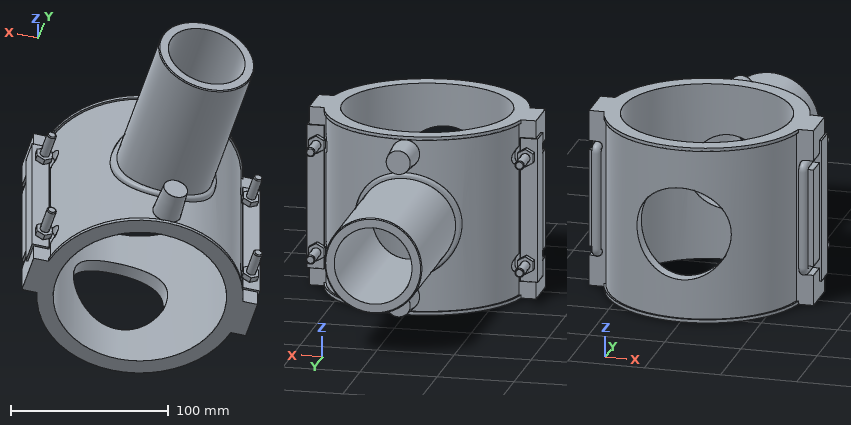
import cadquery as cq
import math


overall_length = 223.3

ring_height = 118.0
bore_radius = 55.0
body_radius = 64.0
rim_radius = 65.5
rim_height = 2.2

flange_half_width = 73.7
front_flange_depth = 14.3
back_flange_depth = 13.6

plate_thickness = 1.3
plate_length = 94.7
plate_inner_x = 63.6
plate_half_width = flange_half_width + plate_thickness
plate_top_y = back_flange_depth + plate_thickness

bolt_diameter = 6.0
bolt_radius = bolt_diameter / 2
bolt_x = 67.9
bolt_leg_z = 35.5
bolt_end_y = 36.2
bolt_tip_chamfer = 0.7
bend_radius = 3.1
bend_z = bolt_leg_z - bend_radius
bolt_bar_y = -front_flange_depth - bend_radius
nut_across_flats = 10.0
nut_corner_diameter = nut_across_flats / math.cos(math.pi / 6)
nut_height = 4.0
nut_clearance_radius = 8.0

pipe_diameter = 63.0
pipe_bore_diameter = 50.5
pipe_end_y = overall_length - rim_radius
pipe_end_chamfer = 0.7
collar_diameter = 69.2
collar_saddle_radius = 66.8
collar_edge_fillet = 1.8
window_diameter = 61.8

stud_base_diameter = 18.3
stud_tip_diameter = 15.6
stud_z = 47.1
stud_tip_y = 84.6


def cylinder_z(radius, height, base_z):
    return cq.Workplane("XY").workplane(offset=base_z).circle(radius).extrude(height)


def cylinder_y(diameter, start_y, end_y, x=0, z=0):
    """Cylinder along +Y from start_y to end_y."""
    plane = cq.Workplane("XZ", origin=(x, start_y, z))
    return plane.circle(diameter / 2).extrude(start_y - end_y)


def box_between(x_range, y_range, height):
    """Box spanning the X and Y ranges, centred on Z = 0."""
    size_x = x_range[1] - x_range[0]
    size_y = y_range[1] - y_range[0]
    center = (sum(x_range) / 2, sum(y_range) / 2, 0)
    return cq.Workplane("XY").box(size_x, size_y, height).translate(center)


def clamp_body():
    """Solid ring blank with end rims and the flange block."""
    body = cylinder_z(body_radius, ring_height, -ring_height / 2)
    for base_z in (-ring_height / 2, ring_height / 2 - rim_height):
        body = body.union(cylinder_z(rim_radius, rim_height, base_z))
    flanges = box_between(
        (-flange_half_width, flange_half_width),
        (-front_flange_depth, back_flange_depth),
        ring_height,
    )
    return body.union(flanges)


def saddle_collar():
    """Collar that follows the ring around the foot of the branch pipe."""
    saddle = cylinder_z(collar_saddle_radius, ring_height, -ring_height / 2)
    collar = cylinder_y(collar_diameter, 0, pipe_end_y).intersect(saddle)
    return collar.faces(">Y").edges().fillet(collar_edge_fillet)


def branch_pipe():
    pipe = cylinder_y(pipe_diameter, 0, pipe_end_y)
    return pipe.faces(">Y").edges().chamfer(pipe_end_chamfer)


def stud(z):
    """Stud tapering outward, with a straight root inside the ring wall."""
    root = cylinder_y(stud_base_diameter, bore_radius, body_radius, z=z)
    taper = (
        cq.Workplane("XZ", origin=(0, body_radius, z))
        .circle(stud_base_diameter / 2)
        .workplane(offset=body_radius - stud_tip_y)
        .circle(stud_tip_diameter / 2)
        .loft()
    )
    return root.union(taper)


def bolt_slot(z):
    """Slot in the right front flange, open to the outside, round at the bolt."""
    round_end = cylinder_y(bolt_diameter, -front_flange_depth, 0, bolt_x, z)
    mouth = box_between((bolt_x, flange_half_width), (-front_flange_depth, 0), bolt_diameter)
    return round_end.union(mouth.translate((0, 0, z)))


def nut_clearance(z):
    """Round relief in the ring wall beside a nut."""
    return cylinder_y(2 * nut_clearance_radius, back_flange_depth, bolt_end_y, bolt_x, z)


def angle_plate():
    """L-shaped plate over the top and outer side of the right back flange."""
    top_leg = box_between(
        (plate_inner_x, plate_half_width),
        (back_flange_depth, plate_top_y),
        plate_length,
    )
    side_leg = box_between(
        (flange_half_width, plate_half_width),
        (0, plate_top_y),
        plate_length,
    )
    return top_leg.union(side_leg)


def nut(z):
    return (
        cq.Workplane("XZ", origin=(bolt_x, plate_top_y, z))
        .transformed(rotate=(0, 0, 90))
        .polygon(6, nut_corner_diameter)
        .extrude(-nut_height)
    )


def u_bolt():
    """Two chamfered legs joined by a bar across the front flange."""
    leg = cylinder_y(bolt_diameter, -front_flange_depth, bolt_end_y, bolt_x, bolt_leg_z)
    leg = leg.faces(">Y").edges().chamfer(bolt_tip_chamfer)
    bend = (
        cq.Workplane("XZ", origin=(bolt_x, -front_flange_depth, bolt_leg_z))
        .circle(bolt_radius)
        .revolve(90, (0, -bend_radius, 0), (1, -bend_radius, 0))
    )
    half = leg.union(bend)
    bar = cylinder_z(bolt_radius, 2 * bend_z, -bend_z).translate((bolt_x, bolt_bar_y, 0))
    return bar.union(half).union(half.mirror("XY"))


def both_sides(shape):
    return shape.union(shape.mirror("YZ"))


clamp = clamp_body()
for leg_z in (-bolt_leg_z, bolt_leg_z):
    clamp = clamp.cut(both_sides(bolt_slot(leg_z)))
    clamp = clamp.cut(both_sides(nut_clearance(leg_z)))

clamp = clamp.union(saddle_collar()).union(branch_pipe())
for center_z in (-stud_z, stud_z):
    clamp = clamp.union(stud(center_z))

clamp = clamp.cut(cylinder_z(bore_radius, ring_height, -ring_height / 2))
clamp = clamp.cut(cylinder_y(pipe_bore_diameter, 0, pipe_end_y))
clamp = clamp.cut(cylinder_y(window_diameter, -rim_radius, 0))

fastening = angle_plate().union(u_bolt())
for leg_z in (-bolt_leg_z, bolt_leg_z):
    fastening = fastening.union(nut(leg_z))

result = clamp.union(both_sides(fastening))